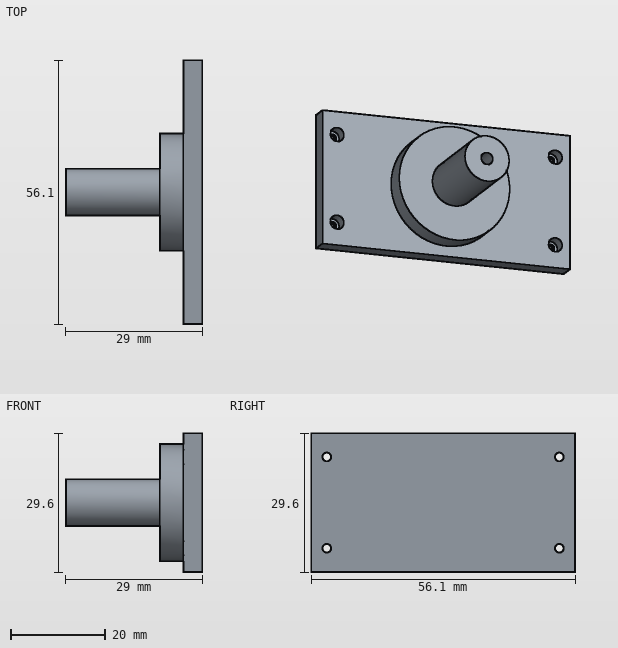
import cadquery as cq

PLATE_THICKNESS = 4.0
PLATE_WIDTH = 56.07
PLATE_HEIGHT = 29.55

FLANGE_DIAMETER = 25.0
FLANGE_LENGTH = 5.0
SHAFT_DIAMETER = 10.0
SHAFT_LENGTH = 20.0

SHAFT_HOLE_DIAMETER = 2.6
SHAFT_HOLE_DEPTH = 10.0

SCREW_HOLE_DIAMETER = 1.8
COUNTERBORE_DIAMETER = 3.05
COUNTERBORE_DEPTH = 3.0
SCREW_SPACING_Y = 49.4
SCREW_SPACING_Z = 19.4

FLANGE_FACE_X = SHAFT_LENGTH
PLATE_FACE_X = FLANGE_FACE_X + FLANGE_LENGTH


def cylinder_along_x(start_x, length, diameter, y=0.0, z=0.0):
    """Solid cylinder running toward +X from start_x."""
    plane = cq.Plane(origin=(start_x, y, z), xDir=(0, 1, 0), normal=(1, 0, 0))
    return cq.Workplane(plane).circle(diameter / 2).extrude(length)


def make_plate():
    plate = cq.Workplane("XY").box(
        PLATE_THICKNESS, PLATE_WIDTH, PLATE_HEIGHT, centered=(False, True, True)
    )
    return plate.translate((PLATE_FACE_X, 0, 0))


def make_screw_hole(y, z):
    """Cutter for one through hole with its counterbore open toward -X."""
    through_hole = cylinder_along_x(PLATE_FACE_X, PLATE_THICKNESS, SCREW_HOLE_DIAMETER, y, z)
    counterbore = cylinder_along_x(PLATE_FACE_X, COUNTERBORE_DEPTH, COUNTERBORE_DIAMETER, y, z)
    return through_hole.union(counterbore)


shaft = cylinder_along_x(0, SHAFT_LENGTH, SHAFT_DIAMETER)
flange = cylinder_along_x(FLANGE_FACE_X, FLANGE_LENGTH, FLANGE_DIAMETER)
body = make_plate().union(flange).union(shaft)

body = body.cut(cylinder_along_x(0, SHAFT_HOLE_DEPTH, SHAFT_HOLE_DIAMETER))

for side_y in (-1, 1):
    for side_z in (-1, 1):
        body = body.cut(make_screw_hole(side_y * SCREW_SPACING_Y / 2, side_z * SCREW_SPACING_Z / 2))

result = body